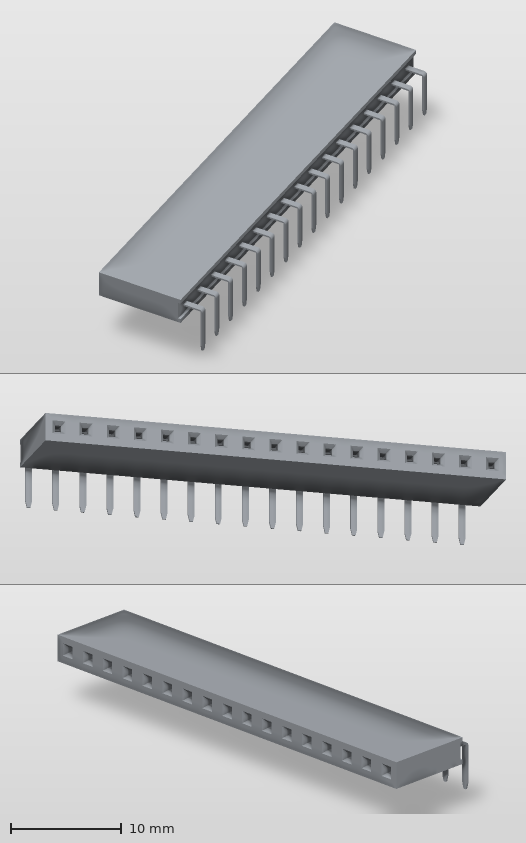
import cadquery as cq

overall_depth = 10.15
overall_length = 43.2
overall_height = 5.85
position_count = 17
pitch = overall_length / position_count

body_depth = 8.45
body_height = 2.6
rear_lip = 0.45
rear_channel_depth = 0.25

pin_width = 0.6
pin_thickness = 0.17
bend_radius = 0.3
tip_width = 0.3
tip_length = 0.6
pin_front = 0.85

mouth_size = 1.2
throat_size = pin_width
funnel_depth = 0.35
socket_depth = 2.6
mouth_offset = 0.05

pin_z = body_height / 2
leg_bottom = body_height - overall_height
position_ys = [(i - (position_count - 1) / 2) * pitch for i in range(position_count)]


def make_housing():
    housing = cq.Workplane("XY").box(body_depth, overall_length, body_height, centered=(False, True, False))
    channel = (
        cq.Workplane("XY")
        .box(rear_channel_depth, overall_length, body_height - 2 * rear_lip, centered=(False, True, False))
        .translate((body_depth - rear_channel_depth, 0, rear_lip))
    )
    return housing.cut(channel)


def make_socket(y):
    """Square hole with a tapered lead-in, open on the socket face."""
    center = (0, y, pin_z)
    funnel = (
        cq.Workplane("YZ", origin=center)
        .center(0, mouth_offset)
        .rect(mouth_size, mouth_size)
        .workplane(offset=funnel_depth)
        .center(0, -mouth_offset)
        .rect(throat_size, throat_size)
        .loft(ruled=True)
    )
    hole = cq.Workplane("YZ", origin=center).rect(throat_size, throat_size).extrude(socket_depth)
    return funnel.union(hole)


def make_pin(y):
    """L-shaped flat pin with a rounded bend and a tapered tip."""
    pin_top = pin_z + pin_thickness / 2
    leg_inner = overall_depth - pin_thickness
    strip = (
        cq.Workplane("XZ", origin=(0, y + pin_width / 2, 0))
        .moveTo(pin_front, pin_top)
        .lineTo(overall_depth - bend_radius, pin_top)
        .radiusArc((overall_depth, pin_top - bend_radius), bend_radius)
        .lineTo(overall_depth, leg_bottom)
        .lineTo(leg_inner, leg_bottom)
        .lineTo(leg_inner, pin_top - pin_thickness)
        .lineTo(pin_front, pin_top - pin_thickness)
        .close()
        .extrude(pin_width)
    )
    half_width = pin_width / 2
    half_tip = tip_width / 2
    silhouette = (
        cq.Workplane("YZ", origin=(0, y, 0))
        .polyline([
            (-half_width, pin_top),
            (-half_width, leg_bottom + tip_length),
            (-half_tip, leg_bottom),
            (half_tip, leg_bottom),
            (half_width, leg_bottom + tip_length),
            (half_width, pin_top),
        ])
        .close()
        .extrude(overall_depth)
    )
    return strip.intersect(silhouette)


result = make_housing()
for position_y in position_ys:
    result = result.cut(make_socket(position_y))
    result = result.union(make_pin(position_y))